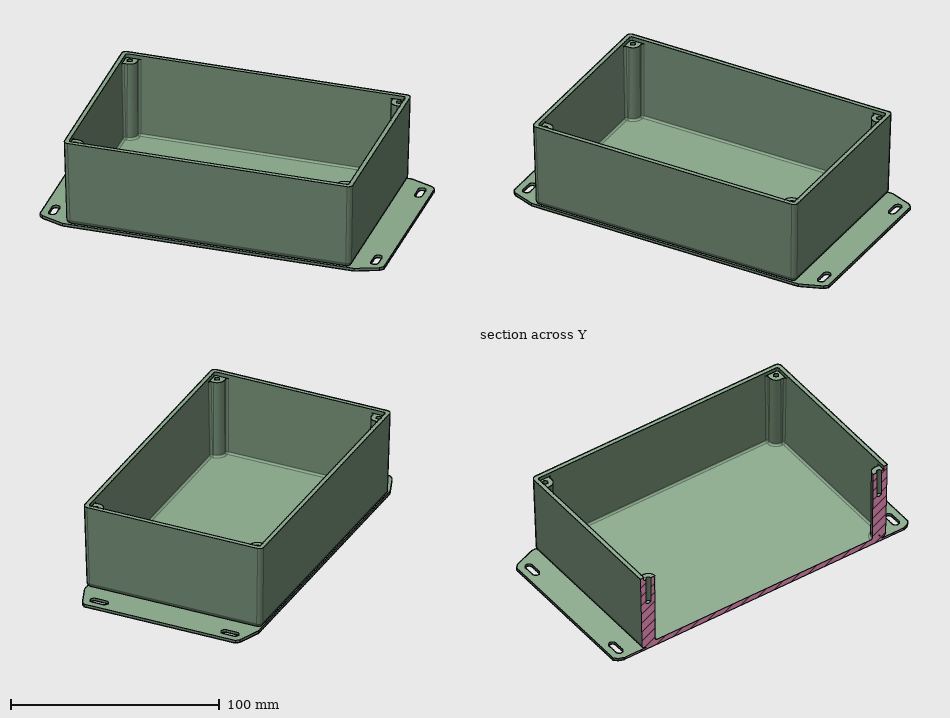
import cadquery as cq
import math

box_length = 145.0
box_width = 95.0
total_height = 46.5
draft_angle = 1.3
corner_radius = 2.2
bottom_fillet = 2.3
wall = 2.2
floor_thickness = 2.0
inner_corner_radius = 1.0
inner_floor_fillet = 1.0

plate_length = 172.97
plate_width = 92.4
plate_thickness = 1.5
plate_taper_end_width = 83.8
plate_taper_start = 73.3
plate_corner_chamfer = 1.75

slot_length = 9.3
slot_width = 3.8
slot_x = 81.0
slot_y = 34.7

post_x = 67.7
post_y = 42.9
post_radius = 3.8
post_drop = 2.0
post_draft_angle = 0.5
post_root_fillet = 1.0
screw_hole_diameter = 2.5
screw_hole_depth = 15.0
screw_hole_tip_angle = 118.0

floor_z = plate_thickness + floor_thickness
post_top_z = total_height - post_drop
rim_to_box_bottom = total_height - plate_thickness
rim_to_floor = total_height - floor_z
corner_signs = [(sx, sy) for sx in (-1, 1) for sy in (-1, 1)]


def drafted_block(length, width, depth, radius):
    """Rounded block hanging from the rim plane and narrowing downwards."""
    block = (
        cq.Workplane("XY")
        .workplane(offset=total_height)
        .rect(length, width)
        .extrude(-depth, taper=draft_angle)
    )
    return block.edges("not #Z").fillet(radius)


def make_outer_box():
    """Solid outer form of the box with its lower edge rounded."""
    block = drafted_block(box_length, box_width, rim_to_box_bottom, corner_radius)
    return block.faces("<Z").edges().fillet(bottom_fillet)


def corner_post(sign_x, sign_y):
    """Round-nosed post that fills one corner of the cavity and widens towards the floor."""
    reach_x = box_length / 2 - post_x
    reach_y = box_width / 2 - post_y
    post = (
        cq.Workplane("XY")
        .moveTo(reach_x, reach_y)
        .lineTo(-post_radius, reach_y)
        .lineTo(-post_radius, 0)
        .radiusArc((0, -post_radius), -post_radius)
        .lineTo(reach_x, -post_radius)
        .close()
        .extrude(floor_z - post_top_z, taper=-post_draft_angle)
    )
    if sign_x < 0:
        post = post.mirror("YZ")
    if sign_y < 0:
        post = post.mirror("XZ")
    return post.translate((sign_x * post_x, sign_y * post_y, post_top_z))


def fillet_post_roots(cavity, sign_x, sign_y):
    """Round the two upright corners where one post meets the box walls."""
    middle_z = (floor_z + post_top_z) / 2
    wall_x = box_length / 2 - wall
    wall_y = box_width / 2 - wall
    end_wall_root = (sign_x * wall_x, sign_y * (post_y - post_radius), middle_z)
    side_wall_root = (sign_x * (post_x - post_radius), sign_y * wall_y, middle_z)
    for root in (end_wall_root, side_wall_root):
        cavity = cavity.edges(cq.selectors.NearestToPointSelector(root)).fillet(post_root_fillet)
    return cavity


def make_cavity():
    """Space inside the box, with the posts left standing and its floor edge rounded."""
    cavity = drafted_block(
        box_length - 2 * wall, box_width - 2 * wall, rim_to_floor, inner_corner_radius
    )
    for sign_x, sign_y in corner_signs:
        cavity = cavity.cut(corner_post(sign_x, sign_y))
    for sign_x, sign_y in corner_signs:
        cavity = fillet_post_roots(cavity, sign_x, sign_y)
    return cavity.faces("<Z").edges().fillet(inner_floor_fillet)


def make_plate():
    """Flat plate with tapered, chamfered ears and a slot near each ear corner."""
    end_x = plate_length / 2
    taper_end_y = plate_taper_end_width / 2
    quarter_outline = [
        (0, 0),
        (0, plate_width / 2),
        (plate_taper_start, plate_width / 2),
        (end_x - plate_corner_chamfer, taper_end_y),
        (end_x, taper_end_y - plate_corner_chamfer),
        (end_x, 0),
    ]
    quarter = cq.Workplane("XY").polyline(quarter_outline).close().extrude(plate_thickness)
    half = quarter.union(quarter.mirror("XZ"))
    plate = half.union(half.mirror("YZ")).clean()
    slots = (
        cq.Workplane("XY")
        .pushPoints([(sx * slot_x, sy * slot_y) for sx, sy in corner_signs])
        .slot2D(slot_length, slot_width, 90)
        .extrude(plate_thickness)
    )
    return plate.cut(slots)


def make_screw_holes():
    """Blind drilled holes with conical tips, going down from the post tops."""
    radius = screw_hole_diameter / 2
    tip_depth = radius / math.tan(math.radians(screw_hole_tip_angle / 2))
    drill = (
        cq.Workplane("XZ")
        .polyline(
            [
                (0, 0),
                (radius, 0),
                (radius, -screw_hole_depth),
                (0, -screw_hole_depth - tip_depth),
            ]
        )
        .close()
        .revolve(360, (0, 0), (0, 1))
    )
    holes = cq.Workplane("XY")
    for sign_x, sign_y in corner_signs:
        holes = holes.union(drill.translate((sign_x * post_x, sign_y * post_y, post_top_z)))
    return holes


result = make_outer_box().cut(make_cavity()).union(make_plate()).cut(make_screw_holes())